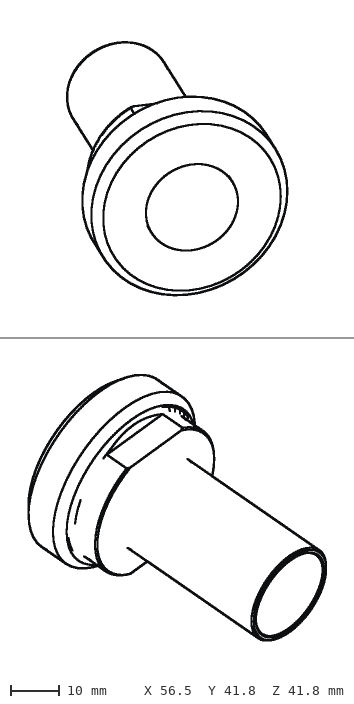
import cadquery as cq
import math

total_length = 56.5
bore_radius = 19.6 / 2
tube_radius = 22.0 / 2
tube_end_chamfer = 0.35
bore_chamfer = 0.2

hub_start = 38.4
hub_end = 44.6
hub_radius = 17.5
hub_chamfer = 0.35
tube_fillet = 0.8
hub_fillet = 0.95
flat_height = 15.5
flat_end = 44.45
flat_wall_lean = 15.0

flange_radius = 41.75 / 2
flange_chamfer = 2.0
flange_start = hub_end + hub_fillet


def turned_body():
    """Tube, hub and flange as one revolved outline around the bore."""
    outline = (
        cq.Workplane("XY")
        .moveTo(bore_chamfer, bore_radius)
        .lineTo(0, bore_radius + bore_chamfer)
        .lineTo(0, tube_radius - tube_end_chamfer)
        .lineTo(tube_end_chamfer, tube_radius)
        .lineTo(hub_start - tube_fillet, tube_radius)
        .radiusArc((hub_start, tube_radius + tube_fillet), -tube_fillet)
        .lineTo(hub_start, hub_radius - hub_chamfer)
        .lineTo(hub_start + hub_chamfer, hub_radius)
        .lineTo(hub_end, hub_radius)
        .radiusArc((flange_start, hub_radius + hub_fillet), -hub_fillet)
        .lineTo(flange_start, flange_radius - flange_chamfer)
        .lineTo(flange_start + flange_chamfer, flange_radius)
        .lineTo(total_length - flange_chamfer, flange_radius)
        .lineTo(total_length, flange_radius - flange_chamfer)
        .lineTo(total_length, bore_radius)
        .close()
    )
    return outline.revolve(360, (0, 0, 0), (1, 0, 0))


def flat_cutter():
    """Prism above the upper wrench flat, with a wall leaning back toward the flange."""
    wall_top = flat_end + (flange_radius - flat_height) * math.tan(math.radians(flat_wall_lean))
    profile = (
        cq.Workplane("XZ")
        .moveTo(hub_start, flat_height)
        .lineTo(flat_end, flat_height)
        .lineTo(wall_top, flange_radius)
        .lineTo(hub_start, flange_radius)
        .close()
    )
    return profile.extrude(hub_radius, both=True)


upper_cutter = flat_cutter()
result = turned_body().cut(upper_cutter).cut(upper_cutter.mirror("XY"))